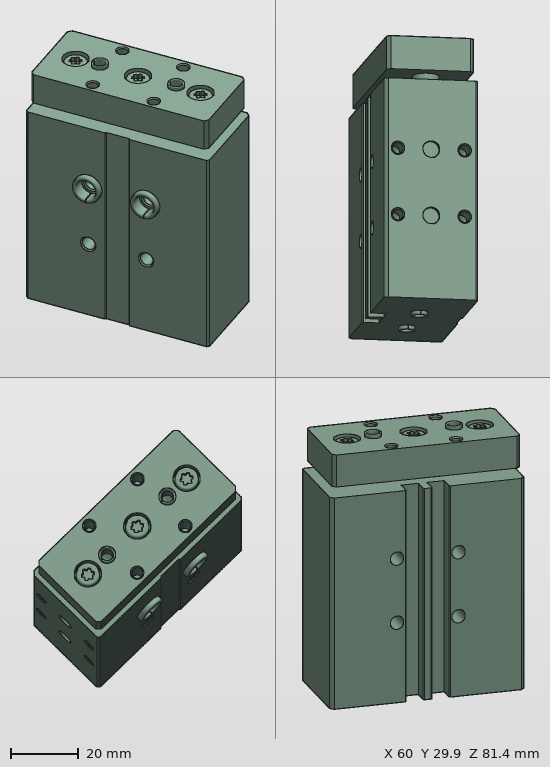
import cadquery as cq
import math


housing_width = 60.0
housing_depth = 28.0
housing_height = 66.0
front_corner_chamfer = 0.7
rear_corner_chamfer = 1.1
front_face_y = -housing_depth / 2
rear_face_y = housing_depth / 2
left_face_x = -housing_width / 2

front_groove_width = 8.0
front_groove_floor_width = 7.5
front_groove_depth = 0.4

sensor_slot_width = 5.3
sensor_rib_width = 2.7
sensor_slot_depth = 5.0
slot_edge_chamfer = 0.3
sensor_slot_x = (sensor_rib_width + sensor_slot_width) / 2

row_spacing = 20.0
lower_row_z = 25.0
upper_row_z = lower_row_z + row_spacing
mount_hole_spacing = 19.0
mount_hole_diameter = 4.13
mount_hole_mouth = 5.0

tapped_core_diameter = 3.24
tapped_mouth_diameter = 4.0
tapped_hole_spacing = 20.0
tapped_hole_depth = 6.0
drill_point_angle = 118.0

plate_width = 58.0
plate_depth = 26.0
plate_height = 10.0
plate_corner_chamfer = 1.1
plate_gap = 3.0
plate_bottom_z = housing_height + plate_gap
plate_top_z = plate_bottom_z + plate_height
guide_rod_spacing = 41.0
guide_rod_diameter = 8.0
piston_rod_diameter = 5.5
screw_positions_x = [-guide_rod_spacing / 2, 0, guide_rod_spacing / 2]
screw_recess_diameter = 8.0
screw_recess_depth = 3.2
screw_head_diameter = 7.0
screw_head_height = 2.6
screw_head_fillet = 0.6
drive_outer_radius = 1.95
drive_inner_radius = 1.4
drive_depth = 1.5
drive_lobes = 6

small_sleeve_diameter = 5.0
small_sleeve_bore = 3.7
small_sleeve_projection = 1.2
small_recess_depth = 1.3
small_slit_width = 0.1
top_sleeve_spacing = 25.0
bottom_sleeve_spacing = 21.0
pilot_hole_depth = 6.0

large_sleeve_diameter = 9.0
large_sleeve_bore = 6.4
large_sleeve_projection = 1.85
large_recess_depth = 2.1
large_slit_width = 0.2


def mirrored(spacing):
    """Two positions placed symmetrically about zero."""
    return [-spacing / 2, spacing / 2]


def cylinder(point, direction, diameter, length):
    """Cylinder that starts at a point and runs along a direction."""
    return cq.Workplane(cq.Solid.makeCylinder(diameter / 2, length, cq.Vector(*point), cq.Vector(*direction)))


def mouth_cone(point, direction, mouth_diameter, hole_diameter):
    """45 degree countersink from the mouth diameter down to the hole diameter."""
    mouth_radius = mouth_diameter / 2
    hole_radius = hole_diameter / 2
    depth = mouth_radius - hole_radius
    cone = cq.Solid.makeCone(mouth_radius, hole_radius, depth, cq.Vector(*point), cq.Vector(*direction))
    return cq.Workplane(cone)


def blind_hole(point, direction, diameter, depth):
    """Cutter for a drilled hole with a conical bottom."""
    axis = cq.Vector(*direction)
    bottom = cq.Vector(*point) + axis * depth
    point_depth = diameter / 2 / math.tan(math.radians(drill_point_angle / 2))
    drill_point = cq.Solid.makeCone(diameter / 2, 0, point_depth, bottom, axis)
    return cylinder(point, direction, diameter, depth).union(cq.Workplane(drill_point))


def make_sleeve(outer, bore, recess_depth, projection, slit_width):
    """Slotted sleeve along +Z with a fully rounded rim; Z = 0 is the face it is pressed into, slit on -X."""
    length = recess_depth + projection
    outer_radius = outer / 2
    bore_radius = bore / 2
    rim_radius = (outer_radius - bore_radius) / 2
    rim_start_z = projection - rim_radius
    sleeve = (
        cq.Workplane("XZ")
        .moveTo(-bore_radius, -recess_depth)
        .lineTo(-outer_radius, -recess_depth)
        .lineTo(-outer_radius, rim_start_z)
        .threePointArc((-bore_radius - rim_radius, projection), (-bore_radius, rim_start_z))
        .close()
        .revolve(360, (0, 0, 0), (0, 1, 0))
    )
    slit = (
        cq.Workplane("XY")
        .box(outer, slit_width, length, centered=(False, True, False))
        .translate((-outer, 0, -recess_depth))
    )
    return sleeve.cut(slit)


def make_small_sleeve():
    return make_sleeve(
        small_sleeve_diameter, small_sleeve_bore, small_recess_depth,
        small_sleeve_projection, small_slit_width,
    )


def make_large_sleeve():
    """Large sleeve turned so that it projects along -Y with its slit on -Z."""
    sleeve = make_sleeve(
        large_sleeve_diameter, large_sleeve_bore, large_recess_depth,
        large_sleeve_projection, large_slit_width,
    )
    slit_to_front = sleeve.rotate((0, 0, 0), (0, 0, 1), 90)
    return slit_to_front.rotate((0, 0, 0), (1, 0, 0), 90)


def make_housing_block():
    """Chamfered block with the front groove and the rear sensor slots."""
    block = cq.Workplane("XY").box(housing_width, housing_depth, housing_height, centered=(True, True, False))
    block = block.edges("|Z and <Y").chamfer(front_corner_chamfer)
    block = block.edges("|Z and >Y").chamfer(rear_corner_chamfer)

    groove_floor_y = front_face_y + front_groove_depth
    groove = (
        cq.Workplane("XY")
        .polyline([
            (-front_groove_width / 2, front_face_y),
            (front_groove_width / 2, front_face_y),
            (front_groove_floor_width / 2, groove_floor_y),
            (-front_groove_floor_width / 2, groove_floor_y),
        ])
        .close()
        .extrude(housing_height)
    )
    block = block.cut(groove)

    half_width = sensor_slot_width / 2
    half_mouth = half_width + slot_edge_chamfer
    slot = (
        cq.Workplane("XY")
        .polyline([
            (-half_mouth, rear_face_y),
            (-half_width, rear_face_y - slot_edge_chamfer),
            (-half_width, rear_face_y - sensor_slot_depth),
            (half_width, rear_face_y - sensor_slot_depth),
            (half_width, rear_face_y - slot_edge_chamfer),
            (half_mouth, rear_face_y),
        ])
        .close()
        .extrude(housing_height)
    )
    for x in (-sensor_slot_x, sensor_slot_x):
        block = block.cut(slot.translate((x, 0, 0)))
    return block


def cut_front_holes(block):
    """Through holes in two rows; the upper ones get a recess for a large sleeve."""
    inward = (0, 1, 0)
    for x in mirrored(mount_hole_spacing):
        for z in (lower_row_z, upper_row_z):
            seat_y = front_face_y
            if z == upper_row_z:
                mouth = (x, front_face_y, z)
                block = block.cut(cylinder(mouth, inward, large_sleeve_diameter, large_recess_depth))
                seat_y += large_recess_depth
            seat = (x, seat_y, z)
            block = block.cut(cylinder(seat, inward, mount_hole_diameter, housing_depth))
            block = block.cut(mouth_cone(seat, inward, mount_hole_mouth, mount_hole_diameter))
    return block


def cut_side_holes(block):
    """Tapped holes and empty sleeve recesses in the left face."""
    inward = (1, 0, 0)
    for z in (lower_row_z, upper_row_z):
        centre = (left_face_x, 0, z)
        block = block.cut(cylinder(centre, inward, small_sleeve_diameter, small_recess_depth))
        for y in mirrored(tapped_hole_spacing):
            mouth = (left_face_x, y, z)
            block = block.cut(blind_hole(mouth, inward, tapped_core_diameter, tapped_hole_depth))
            block = block.cut(mouth_cone(mouth, inward, tapped_mouth_diameter, tapped_core_diameter))
    return block


def cut_bottom_recesses(block):
    for x in mirrored(bottom_sleeve_spacing):
        block = block.cut(cylinder((x, 0, 0), (0, 0, 1), small_sleeve_diameter, small_recess_depth))
    return block


def make_housing():
    block = make_housing_block()
    block = cut_front_holes(block)
    block = cut_side_holes(block)
    return cut_bottom_recesses(block)


def make_screw_head():
    """Rounded screw head with a six-lobe drive; Z = 0 is its seat."""
    head = cq.Workplane("XY").circle(screw_head_diameter / 2).extrude(screw_head_height)
    head = head.faces(">Z").edges().fillet(screw_head_fillet)
    lobe_width = 2 * (drive_outer_radius - drive_inner_radius)
    drive = cq.Workplane("XY").circle(drive_inner_radius).extrude(drive_depth)
    for lobe_pair in range(drive_lobes // 2):
        bar = cq.Workplane("XY").slot2D(drive_outer_radius * 2, lobe_width).extrude(drive_depth)
        angle = 90 + lobe_pair * 360 / drive_lobes
        drive = drive.union(bar.rotate((0, 0, 0), (0, 0, 1), angle))
    return head.cut(drive.translate((0, 0, screw_head_height - drive_depth)))


def make_end_plate():
    """End plate with screw recesses, tapped holes and sleeve seats."""
    down = (0, 0, -1)
    plate = (
        cq.Workplane("XY")
        .box(plate_width, plate_depth, plate_height, centered=(True, True, False))
        .edges("|Z")
        .chamfer(plate_corner_chamfer)
        .translate((0, 0, plate_bottom_z))
    )
    for x in screw_positions_x:
        plate = plate.cut(cylinder((x, 0, plate_top_z), down, screw_recess_diameter, screw_recess_depth))
    for x in mirrored(tapped_hole_spacing):
        for y in mirrored(tapped_hole_spacing):
            mouth = (x, y, plate_top_z)
            plate = plate.cut(cylinder(mouth, down, tapped_core_diameter, plate_height))
            plate = plate.cut(mouth_cone(mouth, down, tapped_mouth_diameter, tapped_core_diameter))
    for x in mirrored(top_sleeve_spacing):
        mouth = (x, 0, plate_top_z)
        plate = plate.cut(cylinder(mouth, down, small_sleeve_diameter, small_recess_depth))
        plate = plate.cut(blind_hole(mouth, down, small_sleeve_bore, pilot_hole_depth))
    return plate


def make_moving_unit():
    """End plate joined with its screw heads, two guide rods and the piston rod."""
    unit = make_end_plate()
    head = make_screw_head()
    for x in screw_positions_x:
        unit = unit.union(head.translate((x, 0, plate_top_z - screw_recess_depth)))
        rod_diameter = piston_rod_diameter if x == 0 else guide_rod_diameter
        unit = unit.union(cylinder((x, 0, housing_height), (0, 0, 1), rod_diameter, plate_gap))
    return unit


housing = make_housing()
moving_unit = make_moving_unit()

top_sleeves = [make_small_sleeve().translate((x, 0, plate_top_z)) for x in mirrored(top_sleeve_spacing)]
bottom_sleeves = [
    make_small_sleeve().rotate((0, 0, 0), (1, 0, 0), 180).translate((x, 0, 0))
    for x in mirrored(bottom_sleeve_spacing)
]
front_sleeves = [
    make_large_sleeve().translate((x, front_face_y, upper_row_z))
    for x in mirrored(mount_hole_spacing)
]

sleeves = top_sleeves + bottom_sleeves + front_sleeves
result = cq.Compound.makeCompound([
    housing.val(),
    moving_unit.val(),
    *[sleeve.val() for sleeve in sleeves],
])